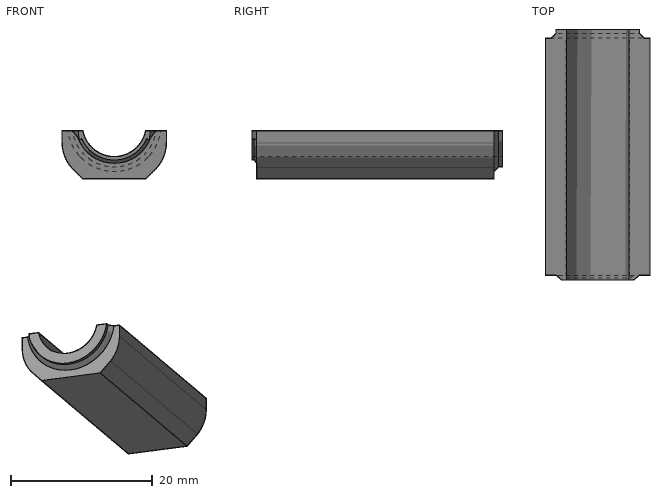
import cadquery as cq

length = 35.45
width = 14.8
height = 6.8
half_length = length / 2
half_width = width / 2
top_z = height / 2
bottom_z = -top_z

straight_side_depth = 1.7
foot_half_width = 4.47
arc_end_depth = 5.2
arc_end_half_width = foot_half_width + height - arc_end_depth

axis_z = top_z + 0.85
channel_radius = 4.5
front_collar_radius = 5.0
front_cone_radius = 5.45
front_collar_length = 0.67
front_land_length = 0.3
back_collar_radius = 6.0
back_cone_radius = 6.63
back_collar_length = 1.2
back_land_length = 0.55

flare_depth = 1.25
flare_inner_x = 4.6
flare_root_x = 5.9
flare_tip_x = 5.1
flare_foot_x = 4.95

front_shoulder_y = -half_length + front_collar_length
back_shoulder_y = half_length - back_collar_length


def make_body():
    """Rounded bearing body between the two end shoulders."""
    arc_end_z = top_z - arc_end_depth
    side_z = top_z - straight_side_depth
    return (
        cq.Workplane("XZ", origin=(0, front_shoulder_y, 0))
        .moveTo(half_width, top_z)
        .lineTo(half_width, side_z)
        .tangentArcPoint((arc_end_half_width, arc_end_z), relative=False)
        .lineTo(foot_half_width, bottom_z)
        .lineTo(-foot_half_width, bottom_z)
        .lineTo(-arc_end_half_width, arc_end_z)
        .threePointArc(*mirrored_side_arc(side_z, arc_end_z))
        .lineTo(-half_width, top_z)
        .close()
        .extrude(front_shoulder_y - back_shoulder_y)
    )


def mirrored_side_arc(side_z, arc_end_z):
    """Middle and end of the left side arc, which is tangent to the upright side."""
    run = half_width - arc_end_half_width
    drop = side_z - arc_end_z
    radius = (run**2 + drop**2) / (2 * run)
    middle_drop = drop / 2
    middle_run = radius - (radius**2 - middle_drop**2) ** 0.5
    return (-half_width + middle_run, side_z - middle_drop), (-half_width, side_z)


def make_collar(shoulder_y, end_y, land_y, land_radius, cone_radius):
    """Collar that tapers from the shoulder to a cylindrical land at the end."""
    return (
        cq.Workplane("XY")
        .moveTo(0, shoulder_y)
        .lineTo(cone_radius, shoulder_y)
        .lineTo(land_radius, land_y)
        .lineTo(land_radius, end_y)
        .lineTo(0, end_y)
        .close()
        .revolve(360, (0, 0, 0), (0, 1, 0))
        .translate((0, 0, axis_z))
    )


def make_flare():
    """Wedge at the right of the front collar, wide at the shoulder and top."""
    foot_z = top_z - flare_depth

    def section(top_x):
        return [
            (flare_inner_x, top_z),
            (top_x, top_z),
            (flare_foot_x, foot_z),
            (flare_inner_x, foot_z),
        ]

    return (
        cq.Workplane("XZ", origin=(0, front_shoulder_y, 0))
        .polyline(section(flare_root_x))
        .close()
        .workplane(offset=front_collar_length)
        .polyline(section(flare_tip_x))
        .close()
        .loft(ruled=True, combine=True)
    )


front_collar = make_collar(
    front_shoulder_y,
    -half_length,
    -half_length + front_land_length,
    front_collar_radius,
    front_cone_radius,
)
back_collar = make_collar(
    back_shoulder_y,
    half_length,
    half_length - back_land_length,
    back_collar_radius,
    back_cone_radius,
)
flare = make_flare()

above_top = cq.Workplane("XY", origin=(0, 0, top_z)).box(
    2 * width, 2 * length, 2 * height, centered=(True, True, False)
)
channel = cq.Workplane("XZ", origin=(0, 0, axis_z)).circle(channel_radius).extrude(length, both=True)

result = (
    make_body()
    .union(front_collar)
    .union(back_collar)
    .union(flare)
    .union(flare.mirror("YZ"))
    .cut(above_top)
    .cut(channel)
)